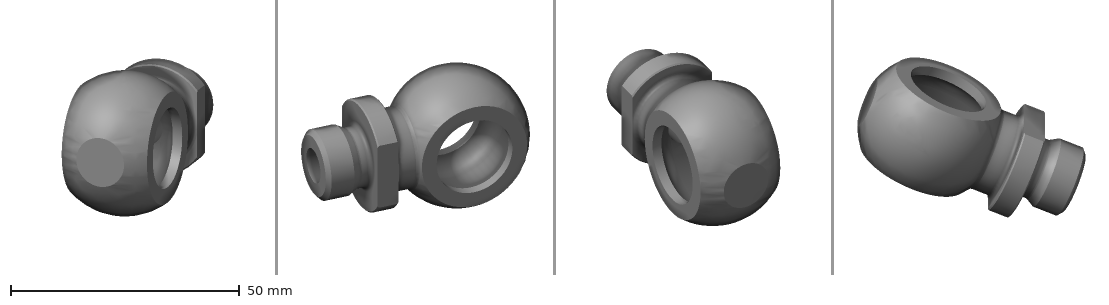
import cadquery as cq
import math

total_length = 49.0
width = 20.0

ball_radius = 32.0 / 2
nose_y = -15.0
bore_radius = 18.0 / 2

groove_floor_radius = 12.65
groove_floor_half_width = 3.6
groove_corner_radius = 4.2

passage_radius = 8.0 / 2
collar_radius = 18.5 / 2
collar_fillet = 1.0
ball_fillet = 1.0
flange_radius = 25.4 / 2
flange_start = 18.0
flange_end = 23.0
flange_chamfer = 0.3
neck_radius = 13.7 / 2
neck_fillet = 1.0
cone_start = 25.65
cone_fillet = 0.75
cone_end = 27.65
stud_radius = 16.0 / 2
stud_chamfer_length = 0.95
stud_chamfer_depth = 1.1

select_margin = 0.05

stem_end = nose_y + total_length


def rod(radius, start, end):
    """Solid cylinder on the Y axis between two positions."""
    return cq.Workplane("XZ", origin=(0, start, 0)).circle(radius).extrude(start - end)


def make_ball_and_collar():
    """Ball with a flat nose, blended into the collar behind it."""
    ball = cq.Workplane("XY").sphere(ball_radius)
    body = ball.union(rod(collar_radius, 0, flange_start))
    joint_y = math.sqrt(ball_radius**2 - collar_radius**2)
    joint = cq.selectors.BoxSelector(
        (-width, joint_y - select_margin, -width), (width, joint_y + select_margin, width)
    )
    body = body.edges("%CIRCLE").edges(joint).fillet(ball_fillet)
    envelope = cq.Workplane("XY").box(2 * ball_radius, total_length, 2 * ball_radius)
    return body.intersect(envelope.translate((0, nose_y + total_length / 2, 0)))


def make_stem():
    """Turned flange, neck and chamfered stud, with the fillets beside the flange."""
    collar_arc_mid = collar_fillet * (1 - math.sqrt(0.5))
    neck_arc_mid = neck_fillet * (1 - math.sqrt(0.5))
    profile = (
        cq.Workplane("XY")
        .moveTo(0, flange_start - collar_fillet)
        .lineTo(collar_radius, flange_start - collar_fillet)
        .threePointArc(
            (collar_radius + collar_arc_mid, flange_start - collar_arc_mid),
            (collar_radius + collar_fillet, flange_start),
        )
        .lineTo(flange_radius - flange_chamfer, flange_start)
        .lineTo(flange_radius, flange_start + flange_chamfer)
        .lineTo(flange_radius, flange_end - flange_chamfer)
        .lineTo(flange_radius - flange_chamfer, flange_end)
        .lineTo(neck_radius + neck_fillet, flange_end)
        .threePointArc(
            (neck_radius + neck_arc_mid, flange_end + neck_arc_mid),
            (neck_radius, flange_end + neck_fillet),
        )
        .lineTo(neck_radius, cone_start)
        .lineTo(stud_radius, cone_end)
        .lineTo(stud_radius, stem_end - stud_chamfer_length)
        .lineTo(stud_radius - stud_chamfer_depth, stem_end)
        .lineTo(0, stem_end)
        .close()
    )
    stem = profile.revolve(360, (0, 0, 0), (0, 1, 0))
    cone_root = cq.selectors.BoxSelector(
        (-width, cone_start - select_margin, -width), (width, cone_start + select_margin, width)
    )
    return stem.edges("%CIRCLE").edges(cone_root).fillet(cone_fillet)


def make_eye():
    """Through bore along X, widened by the ring groove."""
    bore = cq.Workplane("YZ").circle(bore_radius).extrude(width, both=True)
    depth = groove_floor_radius - bore_radius
    corner_run = math.sqrt(groove_corner_radius**2 - (groove_corner_radius - depth) ** 2)
    mouth_half_width = groove_floor_half_width + corner_run
    half_sweep = math.asin(corner_run / groove_corner_radius) / 2
    arc_mid_x = groove_floor_half_width + groove_corner_radius * math.sin(half_sweep)
    arc_mid_r = groove_floor_radius - groove_corner_radius * (1 - math.cos(half_sweep))
    groove = (
        cq.Workplane("XY")
        .moveTo(-mouth_half_width, 0)
        .lineTo(-mouth_half_width, bore_radius)
        .threePointArc((-arc_mid_x, arc_mid_r), (-groove_floor_half_width, groove_floor_radius))
        .lineTo(groove_floor_half_width, groove_floor_radius)
        .threePointArc((arc_mid_x, arc_mid_r), (mouth_half_width, bore_radius))
        .lineTo(mouth_half_width, 0)
        .close()
        .revolve(360, (0, 0, 0), (1, 0, 0))
    )
    return bore.union(groove)


side_flats = cq.Workplane("XY").box(width, 2 * total_length, 2 * ball_radius)

result = (
    make_ball_and_collar()
    .union(make_stem())
    .intersect(side_flats)
    .cut(make_eye())
    .cut(rod(passage_radius, 0, stem_end))
)